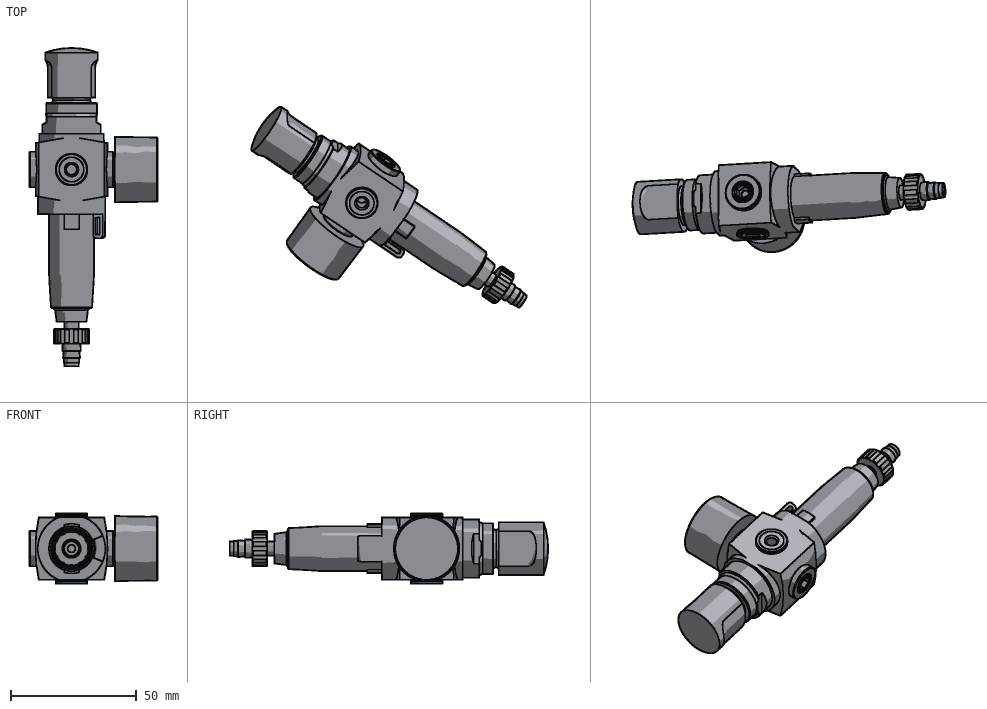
import cadquery as cq
import math


BLOCK_HALF_HEIGHT = 12.4
BLOCK_EDGE_HALF_WIDTH = 13.0
BLOCK_MIDDLE_HALF_WIDTH = 14.3
BLOCK_SIDE_HALF_LENGTH = 10.8
BLOCK_END_SLOPE = 10
UPPER_RADIUS = 12.9
UPPER_END = 14.3
LOWER_RADIUS = 13.5
LOWER_END = -17.8
FLAT_BLEND = 2.5

FLANGE_RADIUS = 11.7
FLANGE_TOP = 20.9
FLANGE_FLAT = 10.0
FLAT_BOTTOM = 18.8
FLAT_RAMP_DROP = 0.9
COLLAR_RADIUS = 10.1
COLLAR_BOTTOM = 22.3
COLLAR_TOP = 26.6
COLLAR_FLARE = 0.5
COLLAR_CHAMFER = 0.4
NECK_RADIUS = 7.9
NECK_GROOVE = 0.5
KNOB_RADIUS = 10.5
KNOB_BOTTOM = 28.7
KNOB_EDGE = 46.5
KNOB_TOP = 48.5
GRIP_DEPTH_X = 9.5
GRIP_RADIUS = 15.8
GRIP_TOP = 40.6
GRIP_RUNOUT = 5.2

BOWL_RADIUS = 9.0
BOWL_TAPER_START = -41.8
BOWL_TAPER_END = -54.8
BOWL_TAPER_RADIUS = 8.2
BOWL_CHAMFER = 0.5
STEP_RADIUS = 7.2
FOOT_RADIUS = 6.5
STEP_END = -55.9
FOOT_START = -56.8
FOOT_END = -60.6
FOOT_END_RADIUS = 6.0
STEM_RADIUS = 2.9
KNURL_RADIUS = 7.1
KNURL_START = -63.4
KNURL_END = -69.4
KNURL_CHAMFER = 0.4
FLUTE_COUNT = 12
FLUTE_RADIUS = 1.1
FLUTE_CIRCLE = 7.7
BARB_RADIUS = 3.7
BARB_LEAD = 1.0
BARB_END = -72.1
SECOND_BARB_RADIUS = 3.4
SECOND_BARB_END = -75.0
BARB_STEP = 0.3
TIP_CONE_RADIUS = 3.0
TIP_CONE_END = -76.8
TIP_RADIUS = 2.9
OVERALL_LENGTH = 126.8
TIP_END = KNOB_TOP - OVERALL_LENGTH
DRAIN_BORE = 3.0
DRAIN_DEPTH = 10.1

LUG_WIDTH = 6.0
LUG_RADIUS = 9.9
LUG_END = -23.7
EYE_ANGLE = 45
EYE_INNER = 9.4
EYE_OUTER = LOWER_RADIUS
EYE_END = -27.4
EYE_ROUND = 1.4
EYE_SLOT_INNER = 10.3
EYE_SLOT_OUTER = 12.0
EYE_SLOT_START = -19.1
EYE_SLOT_END = -26.0
EYE_SLOT_ROUND = 0.6

FLOW_SPAN = 28.0
FLOW_TOP = FLOW_SPAN / 2
FLOW_RIM_RADIUS = 6.3
FLOW_RIM_THICKNESS = 1.0
FLOW_RIM_CHAMFER = 0.3
FLOW_NECK_RADIUS = 6.0
FLOW_FACE_DIAMETER = 9.8
FLOW_FACE_DEPTH = 0.1
FLOW_BORE = 4.2
FLOW_MOUTH = 5.6
FLOW_DEPTH = 7.6

SIDE_BOSS_RADIUS = 7.1
SIDE_BOSS_END = 16.7
SIDE_BOSS_CHAMFER = 0.3
SIDE_BORE = 7.2
SIDE_RECESS = 8.6
SIDE_RECESS_DEPTH = 0.5
SIDE_BORE_DEPTH = 5.1

PLUG_CHAMFER = 0.4
SOCKET_FLATS = 5.0
SOCKET_DEPTH = 4.0
SOCKET_PILOT = 3.0
SOCKET_PILOT_DEPTH = 0.6

GAUGE_NECK_RADIUS = 5.0
GAUGE_BACK = 17.2
GAUGE_FRONT = 34.2
GAUGE_BACK_RADIUS = 13.0
GAUGE_FRONT_RADIUS = 12.8
GAUGE_CHAMFER = 0.4


def y_cylinder(radius, start, end):
    """Cylinder on the main axis between two Y positions."""
    return cq.Workplane("XZ", origin=(0, start, 0)).circle(radius).extrude(start - end)


def x_cylinder(diameter, start, end):
    """Cylinder on the X axis between two X positions."""
    return cq.Workplane("YZ", origin=(start, 0, 0)).circle(diameter / 2).extrude(end - start)


def turned(profile):
    """Solid of revolution about the main axis from a profile in the XY plane."""
    return profile.close().revolve(360, (0, 0, 0), (0, 1, 0))


def block():
    """Block with bulging sides and ends that slope back towards the sides."""
    section = (
        cq.Workplane("XZ", origin=(0, UPPER_END, 0))
        .moveTo(-BLOCK_EDGE_HALF_WIDTH, BLOCK_HALF_HEIGHT)
        .lineTo(BLOCK_EDGE_HALF_WIDTH, BLOCK_HALF_HEIGHT)
        .threePointArc((BLOCK_MIDDLE_HALF_WIDTH, 0), (BLOCK_EDGE_HALF_WIDTH, -BLOCK_HALF_HEIGHT))
        .lineTo(-BLOCK_EDGE_HALF_WIDTH, -BLOCK_HALF_HEIGHT)
        .threePointArc((-BLOCK_MIDDLE_HALF_WIDTH, 0), (-BLOCK_EDGE_HALF_WIDTH, BLOCK_HALF_HEIGHT))
        .close()
        .extrude(2 * UPPER_END)
    )
    slope = math.tan(math.radians(BLOCK_END_SLOPE))
    ridge = BLOCK_SIDE_HALF_LENGTH + slope * BLOCK_EDGE_HALF_WIDTH
    side = SIDE_BOSS_END
    shoulder = ridge - slope * side
    sloped_ends = (
        cq.Workplane("XY")
        .polyline([(0, ridge), (side, shoulder), (side, -shoulder),
                   (0, -ridge), (-side, -shoulder), (-side, shoulder)])
        .close()
        .extrude(BLOCK_HALF_HEIGHT, both=True)
    )
    return section.intersect(sloped_ends)


def flattened_end(radius, end):
    """Round end of the housing with a flat above and below, blended into the round."""
    slab = cq.Workplane("XY").box(4 * radius, 4 * abs(end), 2 * BLOCK_HALF_HEIGHT)
    return y_cylinder(radius, 0, end).intersect(slab).edges("|Y").fillet(FLAT_BLEND)


def bonnet():
    """Flange, flared collar and grooved neck, with a flat on each side of the flange."""
    groove_middle = (COLLAR_TOP + KNOB_BOTTOM) / 2
    body = turned(
        cq.Workplane("XY")
        .moveTo(0, 0)
        .lineTo(FLANGE_RADIUS, 0)
        .lineTo(FLANGE_RADIUS, FLANGE_TOP)
        .lineTo(COLLAR_RADIUS + COLLAR_FLARE, FLANGE_TOP)
        .lineTo(COLLAR_RADIUS, COLLAR_BOTTOM)
        .lineTo(COLLAR_RADIUS, COLLAR_TOP - COLLAR_CHAMFER)
        .lineTo(COLLAR_RADIUS - COLLAR_CHAMFER, COLLAR_TOP)
        .lineTo(NECK_RADIUS, COLLAR_TOP)
        .lineTo(NECK_RADIUS - NECK_GROOVE, groove_middle)
        .lineTo(NECK_RADIUS, KNOB_BOTTOM)
        .lineTo(0, KNOB_BOTTOM)
    )
    flat = (
        cq.Workplane("XY")
        .moveTo(FLANGE_FLAT, FLAT_BOTTOM)
        .lineTo(FLANGE_RADIUS, FLAT_BOTTOM - FLAT_RAMP_DROP)
        .lineTo(FLANGE_RADIUS, COLLAR_BOTTOM - COLLAR_FLARE)
        .lineTo(FLANGE_FLAT, COLLAR_BOTTOM - COLLAR_FLARE)
        .close()
        .extrude(FLANGE_RADIUS, both=True)
    )
    return body.cut(flat).cut(flat.mirror("YZ"))


def knob():
    """Domed knob with a shallow grip recess on each side."""
    dome_radius = (KNOB_RADIUS**2 + (KNOB_TOP - KNOB_EDGE)**2) / (2 * (KNOB_TOP - KNOB_EDGE))
    half_way = KNOB_RADIUS / 2
    dome_middle = KNOB_TOP - dome_radius + math.sqrt(dome_radius**2 - half_way**2)
    body = turned(
        cq.Workplane("XY")
        .moveTo(0, KNOB_BOTTOM)
        .lineTo(KNOB_RADIUS, KNOB_BOTTOM)
        .lineTo(KNOB_RADIUS, KNOB_EDGE)
        .threePointArc((half_way, dome_middle), (0, KNOB_TOP))
    )
    axis_x = GRIP_DEPTH_X - GRIP_RADIUS
    runout_angle = math.radians(45)
    runout_middle = (
        GRIP_DEPTH_X + GRIP_RUNOUT * (1 - math.cos(runout_angle)),
        GRIP_TOP + GRIP_RUNOUT * math.sin(runout_angle),
    )
    grip = (
        cq.Workplane("XY")
        .moveTo(GRIP_DEPTH_X, KNOB_BOTTOM)
        .lineTo(GRIP_DEPTH_X, GRIP_TOP)
        .threePointArc(runout_middle, (GRIP_DEPTH_X + GRIP_RUNOUT, GRIP_TOP + GRIP_RUNOUT))
        .lineTo(GRIP_DEPTH_X + GRIP_RUNOUT, KNOB_BOTTOM)
        .close()
        .revolve(360, (axis_x, 0, 0), (axis_x, 1, 0))
    )
    return body.cut(grip).cut(grip.mirror("YZ"))


def bowl():
    """Tapered bowl with a chamfered shoulder and a conical step down to its foot."""
    bowl_end = BOWL_TAPER_END - BOWL_CHAMFER
    return turned(
        cq.Workplane("XY")
        .moveTo(0, LOWER_END)
        .lineTo(BOWL_RADIUS, LOWER_END)
        .lineTo(BOWL_RADIUS, BOWL_TAPER_START)
        .lineTo(BOWL_TAPER_RADIUS, BOWL_TAPER_END)
        .lineTo(BOWL_TAPER_RADIUS - BOWL_CHAMFER, bowl_end)
        .lineTo(STEP_RADIUS, bowl_end)
        .lineTo(FOOT_RADIUS, STEP_END)
        .lineTo(FOOT_RADIUS, FOOT_START)
        .lineTo(FOOT_END_RADIUS, FOOT_END)
        .lineTo(0, FOOT_END)
    )


def drain():
    """Drain stem, fluted drain knob and bored hose barb."""
    body = y_cylinder(STEM_RADIUS, FOOT_END, KNURL_START)
    fluted = y_cylinder(KNURL_RADIUS, KNURL_START, KNURL_END).edges().chamfer(KNURL_CHAMFER)
    flutes = (
        cq.Workplane("XZ", origin=(0, KNURL_START, 0))
        .polarArray(FLUTE_CIRCLE, 0, 360, FLUTE_COUNT)
        .circle(FLUTE_RADIUS)
        .extrude(KNURL_START - KNURL_END)
    )
    barb = turned(
        cq.Workplane("XY")
        .moveTo(0, KNURL_END)
        .lineTo(SECOND_BARB_RADIUS, KNURL_END)
        .lineTo(BARB_RADIUS, KNURL_END - BARB_LEAD)
        .lineTo(BARB_RADIUS, BARB_END)
        .lineTo(SECOND_BARB_RADIUS - BARB_STEP, BARB_END - BARB_STEP)
        .lineTo(SECOND_BARB_RADIUS, SECOND_BARB_END)
        .lineTo(SECOND_BARB_RADIUS - BARB_STEP, SECOND_BARB_END - BARB_STEP)
        .lineTo(TIP_CONE_RADIUS, TIP_CONE_END)
        .lineTo(TIP_RADIUS, TIP_CONE_END)
        .lineTo(TIP_RADIUS, TIP_END)
        .lineTo(0, TIP_END)
    )
    bore = y_cylinder(DRAIN_BORE / 2, TIP_END + DRAIN_DEPTH, TIP_END)
    return body.union(fluted.cut(flutes)).union(barb).cut(bore)


def bowl_lugs():
    """Raised lugs on the top and bottom of the bowl, next to the housing."""
    strip = cq.Workplane("XY").box(LUG_WIDTH, 4 * abs(LUG_END), 4 * LUG_RADIUS)
    return y_cylinder(LUG_RADIUS, LOWER_END, LUG_END).intersect(strip)


def sector(inner, outer, start, end, angle):
    """Part of a ring about the main axis, centred on +X."""
    return (
        cq.Workplane("XY")
        .moveTo(inner, start)
        .lineTo(outer, start)
        .lineTo(outer, end)
        .lineTo(inner, end)
        .close()
        .revolve(angle, (0, 0, 0), (0, 1, 0))
        .rotate((0, 0, 0), (0, 1, 0), -angle / 2)
    )


def locking_eye():
    """Eye hanging from the housing beside the bowl, with a curved slot through it."""
    eye = sector(EYE_INNER, EYE_OUTER, LOWER_END, EYE_END, EYE_ANGLE)
    eye = eye.faces("<Y").edges("%CIRCLE").fillet(EYE_ROUND)
    slot = sector(EYE_SLOT_INNER, EYE_SLOT_OUTER, EYE_SLOT_START, EYE_SLOT_END, 2 * EYE_ANGLE)
    slot = slot.faces("<Y").edges("%CIRCLE").fillet(EYE_SLOT_ROUND)
    return eye.cut(slot)


def flow_port_boss():
    """Rimmed boss of the +Z flow port."""
    neck = cq.Workplane("XY").circle(FLOW_NECK_RADIUS).extrude(FLOW_TOP - FLOW_RIM_THICKNESS)
    rim = (
        cq.Workplane("XY", origin=(0, 0, FLOW_TOP - FLOW_RIM_THICKNESS))
        .circle(FLOW_RIM_RADIUS)
        .extrude(FLOW_RIM_THICKNESS)
        .faces(">Z").edges().chamfer(FLOW_RIM_CHAMFER)
    )
    return neck.union(rim)


def flow_port_bore():
    """Shallow face recess, bevelled mouth and blind bore of the +Z flow port."""
    face = FLOW_TOP - FLOW_FACE_DEPTH
    bevel = (FLOW_MOUTH - FLOW_BORE) / 2
    return (
        cq.Workplane("XZ")
        .moveTo(0, FLOW_TOP)
        .lineTo(FLOW_FACE_DIAMETER / 2, FLOW_TOP)
        .lineTo(FLOW_FACE_DIAMETER / 2, face)
        .lineTo(FLOW_MOUTH / 2, face)
        .lineTo(FLOW_BORE / 2, face - bevel)
        .lineTo(FLOW_BORE / 2, FLOW_TOP - FLOW_DEPTH)
        .lineTo(0, FLOW_TOP - FLOW_DEPTH)
        .close()
        .revolve(360, (0, 0, 0), (0, 1, 0))
    )


def side_port_bore():
    """Recessed blind bore of the +X gauge port."""
    bore = x_cylinder(SIDE_BORE, SIDE_BOSS_END - SIDE_BORE_DEPTH, SIDE_BOSS_END)
    recess = x_cylinder(SIDE_RECESS, SIDE_BOSS_END - SIDE_RECESS_DEPTH, SIDE_BOSS_END)
    return bore.union(recess)


def make_housing():
    """Regulator housing with its bonnet, knob, bowl, drain and ports."""
    body = block()
    body = body.union(flattened_end(UPPER_RADIUS, UPPER_END))
    body = body.union(flattened_end(LOWER_RADIUS, LOWER_END))
    for piece in (bonnet(), knob(), bowl(), bowl_lugs(), locking_eye(), drain()):
        body = body.union(piece)
    side_bosses = x_cylinder(2 * SIDE_BOSS_RADIUS, -SIDE_BOSS_END, SIDE_BOSS_END)
    body = body.union(side_bosses.edges().chamfer(SIDE_BOSS_CHAMFER))
    body = body.union(flow_port_boss()).union(flow_port_boss().mirror("XY"))
    body = body.cut(flow_port_bore()).cut(flow_port_bore().mirror("XY"))
    return body.cut(side_port_bore()).cut(side_port_bore().mirror("YZ"))


def make_plug():
    """Blanking plug with a hexagon socket, filling the -X port."""
    plug = x_cylinder(SIDE_BORE, -SIDE_BOSS_END, SIDE_BORE_DEPTH - SIDE_BOSS_END)
    plug = plug.faces("<X").edges().chamfer(PLUG_CHAMFER)
    socket = (
        cq.Workplane("YZ", origin=(-SIDE_BOSS_END, 0, 0))
        .polygon(6, SOCKET_FLATS, circumscribed=True)
        .extrude(SOCKET_DEPTH)
    )
    pilot = x_cylinder(SOCKET_PILOT, -SIDE_BOSS_END, SOCKET_DEPTH + SOCKET_PILOT_DEPTH - SIDE_BOSS_END)
    return plug.cut(socket).cut(pilot)


def make_gauge():
    """Pressure gauge: stem in the +X port, short neck and slightly tapered case."""
    return (
        cq.Workplane("XY")
        .moveTo(SIDE_BOSS_END - SIDE_BORE_DEPTH, 0)
        .lineTo(SIDE_BOSS_END - SIDE_BORE_DEPTH, SIDE_BORE / 2)
        .lineTo(SIDE_BOSS_END, SIDE_BORE / 2)
        .lineTo(SIDE_BOSS_END, GAUGE_NECK_RADIUS)
        .lineTo(GAUGE_BACK, GAUGE_NECK_RADIUS)
        .lineTo(GAUGE_BACK, GAUGE_BACK_RADIUS)
        .lineTo(GAUGE_FRONT - GAUGE_CHAMFER, GAUGE_FRONT_RADIUS)
        .lineTo(GAUGE_FRONT, GAUGE_FRONT_RADIUS - GAUGE_CHAMFER)
        .lineTo(GAUGE_FRONT, 0)
        .close()
        .revolve(360, (0, 0, 0), (1, 0, 0))
    )


housing = make_housing()
plug = make_plug()
gauge = make_gauge()
result = cq.Compound.makeCompound([*housing.solids().vals(), *plug.solids().vals(), *gauge.solids().vals()])